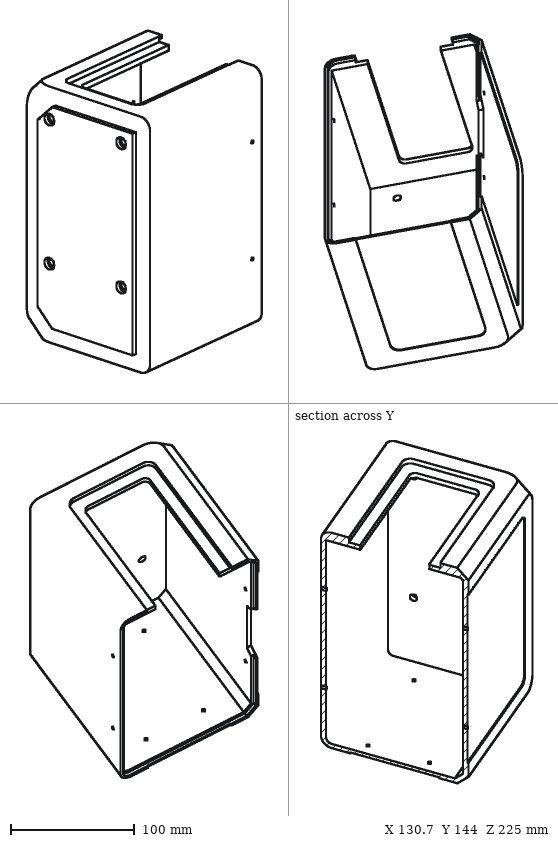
import cadquery as cq
import math

WIDTH = 130.7
HEIGHT = 225.0
DEPTH = 140.0
CORNER = 10.0
WALL = 5.0

PLATE_THICKNESS = 4.0
FRONT_MARGIN = 15.0
PLATE_CHAMFER = 15.3

SCREW_SPACING_X = 76.0
SCREW_SPACING_Z = 126.7
SCREW_CENTRE_Z = 22.3
SCREW_DIAMETER = 6.3
SCREW_HEAD_DIAMETER = 10.1
SCREW_HEAD_DEPTH = 4.0

SEAT_DEPTH = 3.2
RIM = WALL / 2

SIDE_MARGIN = 25.0
TOP_FIELD_WIDTH = WIDTH - 2 * SIDE_MARGIN
LEFT_FIELD_WIDTH = HEIGHT - 2 * SIDE_MARGIN
BOTTOM_FIELD_WIDTH = 79.2
FIELD_RADIUS = 7.5
FIELD_RECESS = 1.0
FLOOR_SETBACK = 0.5

LIP_WIDTH = 10.0
LIP_THICKNESS = WALL
OPENING_RADIUS = 5.0

NOTCH_DEPTH = 10.0
NOTCH_REAR_LENGTH = 70.0
NOTCH_INNER_LENGTH = 58.7

PIN_DIAMETER = 2.5
PIN_REAR_OFFSET = 12.0
PIN_SPACING_Z = 102.8
FLOOR_HOLE_SPACING_X = 54.5
FLOOR_HOLE_CENTRE_X = 0.7
FLOOR_HOLE_REAR_OFFSETS = (21.8, 113.5)
FLOOR_HOLE_DEPTH = WALL / 2

LEFT = -WIDTH / 2
TOP = HEIGHT / 2
BOTTOM = -HEIGHT / 2


def housing_prism(inset, front, rear):
    """The housing's outline moved inward by inset, extruded from Y = front to Y = rear."""
    chamfer = CORNER - inset * (2 - math.sqrt(2))
    return (
        cq.Workplane("XY")
        .box(WIDTH - 2 * inset, rear - front, HEIGHT - 2 * inset)
        .translate((0, (front + rear) / 2, 0))
        .edges("|Y and <X").chamfer(chamfer)
        .edges("|Y and >X").fillet(CORNER - inset)
    )


def flat_field(across, front, rear, radius, thickness):
    """Flat block centred on X = 0 and Z = 0, with its two front corners rounded."""
    return (
        cq.Workplane("XY")
        .box(across, rear - front, thickness)
        .translate((0, (front + rear) / 2, 0))
        .edges("|Z and <Y").fillet(radius)
    )


def left_recess():
    """Shallow framed field on the left face, open at the rear."""
    recess = flat_field(LEFT_FIELD_WIDTH, FRONT_MARGIN, DEPTH, FIELD_RADIUS, 2 * FIELD_RECESS)
    return recess.rotate((0, 0, 0), (0, 1, 0), 90).translate((LEFT, 0, 0))


def bottom_recess():
    """Shallow framed field on the bottom face, with the floor's rim set back behind it."""
    recess = flat_field(BOTTOM_FIELD_WIDTH, FRONT_MARGIN, DEPTH, FIELD_RADIUS, 2 * FIELD_RECESS)
    setback = (
        cq.Workplane("XY")
        .box(BOTTOM_FIELD_WIDTH, FLOOR_SETBACK, 2 * WALL)
        .translate((0, DEPTH - FLOOR_SETBACK / 2, 0))
    )
    return recess.union(setback).translate((0, 0, BOTTOM))


def hollow_housing():
    """Shell with bevelled front, closed all round except at the rear."""
    body = housing_prism(0, 0, DEPTH)
    chamfer_edges = body.faces("<Y").edges("%LINE").edges("not(|X or |Z)")
    body = chamfer_edges.fillet(CORNER)
    lip_block = cq.Workplane("XY").box(WIDTH - 2 * WALL, DEPTH, LIP_THICKNESS)
    cavity = housing_prism(WALL, WALL, DEPTH).cut(
        lip_block.translate((0, DEPTH / 2, TOP - WALL - LIP_THICKNESS / 2))
    )
    seat = housing_prism(RIM, DEPTH - SEAT_DEPTH, DEPTH)
    return body.cut(cavity).cut(seat)


def front_plate():
    """Raised plate whose left corners are chamfered like the housing."""
    return (
        cq.Workplane("XY")
        .box(WIDTH - 2 * FRONT_MARGIN, PLATE_THICKNESS, HEIGHT - 2 * FRONT_MARGIN)
        .translate((0, -PLATE_THICKNESS / 2, 0))
        .edges("|Y and <X").chamfer(PLATE_CHAMFER)
    )


def screw_holes():
    """Four counterbored holes through the plate and the front wall."""
    plate_front = cq.Workplane("XZ", origin=(0, -PLATE_THICKNESS, SCREW_CENTRE_Z))
    pattern = plate_front.rect(SCREW_SPACING_X, SCREW_SPACING_Z, forConstruction=True).vertices()
    shanks = pattern.circle(SCREW_DIAMETER / 2).extrude(-PLATE_THICKNESS - WALL)
    heads = pattern.circle(SCREW_HEAD_DIAMETER / 2).extrude(-SCREW_HEAD_DEPTH)
    return shanks.union(heads)


def top_opening():
    """Wide rebate in the top face and the narrower opening through the lip below it."""
    rebate = flat_field(TOP_FIELD_WIDTH, FRONT_MARGIN, DEPTH, FIELD_RADIUS, 2 * WALL)
    opening = flat_field(
        TOP_FIELD_WIDTH - 2 * LIP_WIDTH,
        FRONT_MARGIN + LIP_WIDTH,
        DEPTH,
        OPENING_RADIUS,
        2 * (WALL + LIP_THICKNESS),
    )
    return rebate.union(opening).translate((0, 0, TOP))


def finger_notch():
    """Trapezoid notch through the left wall, open at the rear."""
    return (
        cq.Workplane("YZ", origin=(LEFT, 0, 0))
        .moveTo(DEPTH, -NOTCH_REAR_LENGTH / 2)
        .lineTo(DEPTH, NOTCH_REAR_LENGTH / 2)
        .lineTo(DEPTH - NOTCH_DEPTH, NOTCH_INNER_LENGTH / 2)
        .lineTo(DEPTH - NOTCH_DEPTH, -NOTCH_INNER_LENGTH / 2)
        .close()
        .extrude(WALL)
    )


def side_pin_holes():
    """Two small holes running through both side walls."""
    return (
        cq.Workplane("YZ", origin=(LEFT, DEPTH - PIN_REAR_OFFSET, 0))
        .pushPoints([(0, -PIN_SPACING_Z / 2), (0, PIN_SPACING_Z / 2)])
        .circle(PIN_DIAMETER / 2)
        .extrude(WIDTH)
    )


def floor_holes():
    """Four small blind holes sunk into the inside of the floor."""
    points = [
        (FLOOR_HOLE_CENTRE_X + side * FLOOR_HOLE_SPACING_X / 2, DEPTH - offset)
        for side in (-1, 1)
        for offset in FLOOR_HOLE_REAR_OFFSETS
    ]
    return (
        cq.Workplane("XY", origin=(0, 0, BOTTOM + WALL))
        .pushPoints(points)
        .circle(PIN_DIAMETER / 2)
        .extrude(-FLOOR_HOLE_DEPTH)
    )


result = (
    hollow_housing()
    .union(front_plate())
    .cut(top_opening())
    .cut(left_recess())
    .cut(bottom_recess())
    .cut(finger_notch())
    .cut(screw_holes())
    .cut(side_pin_holes())
    .cut(floor_holes())
)